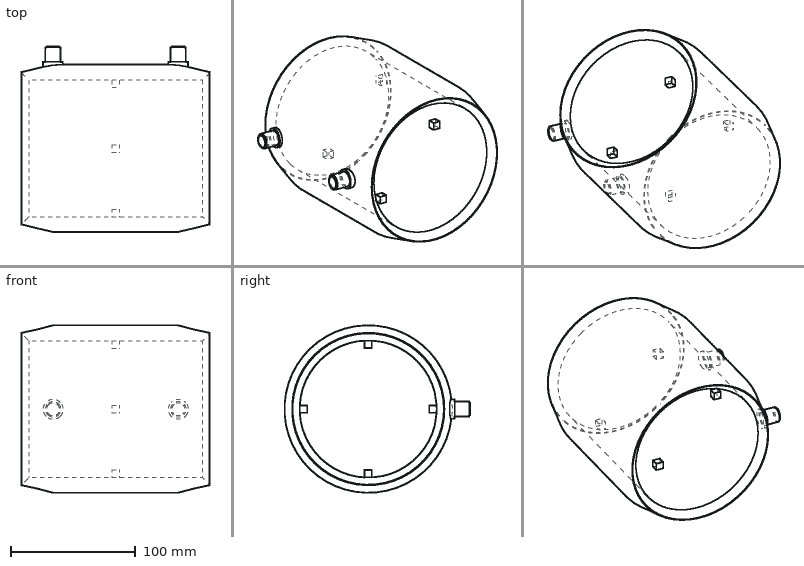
import cadquery as cq

length = 151.0
outer_radius = 67.3
end_radius = 61.3
bore_radius = 55.0
taper_length = 25.2
rim_width = 0.6

stop_size = 6.0
stop_count = 4

terminal_x = length / 2 - taper_length
terminal_tip_y = 82.1
pin_radius = 6.2
tip_radius = 5.1
tip_height = 1.0
flange_radius = 8.0
flange_top_y = 69.5
terminal_root_y = 60.4


def make_sleeve():
    """Tube with tapered outer ends and 45 degree lead-ins at the bore mouths."""
    half_length = length / 2
    half_straight = half_length - taper_length
    mouth_radius = end_radius - rim_width
    lead_in = mouth_radius - bore_radius
    profile = [
        (-half_length, mouth_radius),
        (-half_length, end_radius),
        (-half_straight, outer_radius),
        (half_straight, outer_radius),
        (half_length, end_radius),
        (half_length, mouth_radius),
        (half_length - lead_in, bore_radius),
        (-half_length + lead_in, bore_radius),
    ]
    return cq.Workplane("XY").polyline(profile).close().revolve(360, (0, 0, 0), (1, 0, 0))


def make_stop(angle):
    """Block rooted in the wall and reaching stop_size into the bore."""
    inner_end = bore_radius - stop_size
    root_end = (bore_radius + outer_radius) / 2
    block = cq.Workplane("XY").box(stop_size, stop_size, root_end - inner_end)
    block = block.translate((0, 0, (inner_end + root_end) / 2))
    return block.rotate((0, 0, 0), (1, 0, 0), angle)


def make_terminal(x):
    """Flanged pin pointing along +Y, with a short narrower step at the tip."""
    profile = [
        (0, terminal_root_y),
        (flange_radius, terminal_root_y),
        (flange_radius, flange_top_y),
        (pin_radius, flange_top_y),
        (pin_radius, terminal_tip_y - tip_height),
        (tip_radius, terminal_tip_y - tip_height),
        (tip_radius, terminal_tip_y),
        (0, terminal_tip_y),
    ]
    terminal = cq.Workplane("XY").polyline(profile).close().revolve(360, (0, 0, 0), (0, 1, 0))
    return terminal.translate((x, 0, 0))


result = make_sleeve()
for index in range(stop_count):
    result = result.union(make_stop(index * 360 / stop_count))
for side in (-1, 1):
    result = result.union(make_terminal(side * terminal_x))